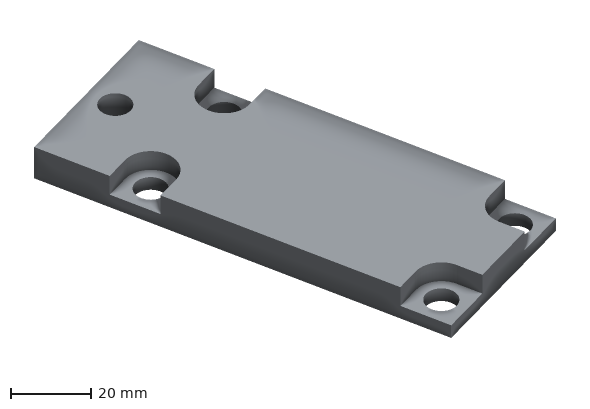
import cadquery as cq

length = 122.0
width = 50.0
thickness = 10.0

hole_diameter = 9.0
edge_offset = 7.5
screw_pitch = 85.0
end_hole_offset = 8.4

pocket_radius = edge_offset
pocket_depth = 6.0

right_x = length / 2 - edge_offset
left_x = right_x - screw_pitch
screw_y = width / 2 - edge_offset
end_hole_x = -length / 2 + end_hole_offset
floor_z = thickness - pocket_depth


def pocket_block(x_min, x_max, y_min, y_max):
    """Box from the pocket floor up to the top face."""
    return (
        cq.Workplane("XY", origin=(x_min, y_min, floor_z))
        .box(x_max - x_min, y_max - y_min, pocket_depth, centered=False)
    )


def screw_pocket(x, open_to_end):
    """Round-ended pocket open to the +Y side and optionally to the +X end."""
    pocket = (
        cq.Workplane("XY", origin=(x, screw_y, floor_z))
        .circle(pocket_radius)
        .extrude(pocket_depth)
    )
    side = pocket_block(x - pocket_radius, x + pocket_radius, screw_y, width / 2)
    pocket = pocket.union(side)
    if open_to_end:
        corner = pocket_block(x, length / 2, screw_y - pocket_radius, width / 2)
        pocket = pocket.union(corner)
    return pocket


result = cq.Workplane("XY").box(length, width, thickness, centered=(True, True, False))

for x, open_to_end in ((left_x, False), (right_x, True)):
    pocket = screw_pocket(x, open_to_end)
    result = result.cut(pocket).cut(pocket.mirror("XZ"))

hole_centres = [(x, y) for x in (left_x, right_x) for y in (-screw_y, screw_y)]
hole_centres.append((end_hole_x, 0))
holes = (
    cq.Workplane("XY")
    .pushPoints(hole_centres)
    .circle(hole_diameter / 2)
    .extrude(thickness)
)
result = result.cut(holes)